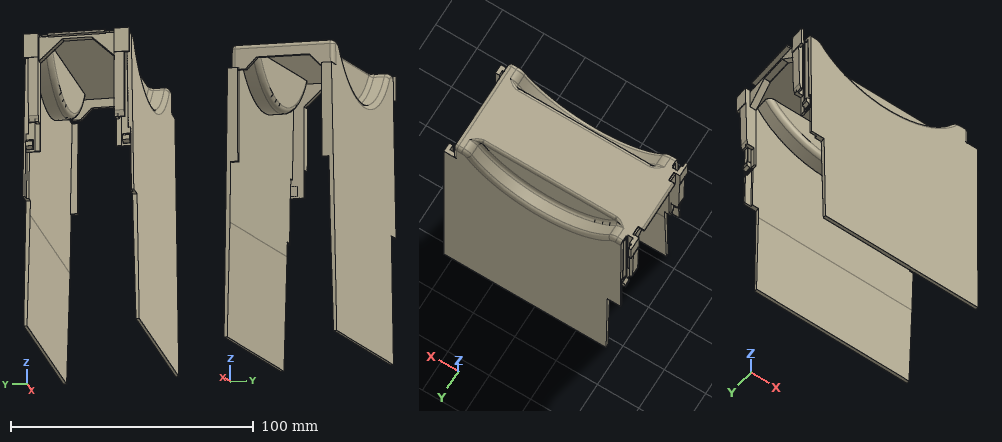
import cadquery as cq


HEIGHT = 123.0
TOP_HALF_WIDTH = 22.3
BOTTOM_HALF_WIDTH = 24.4
WALL = 2.0
SKIRT_WALL = 1.5
THIN_START = 75.0
EDGE_ROUND = 1.8

PANEL_FRONT_TOP = 4.9
PANEL_FRONT_LOW = 4.4
FRONT_STEP_DEPTH = 68.9
SKIRT_FRONT = 10.8
STRIP_REAR = 7.6
STRIP_WALL = 1.0
STRIP_DEPTH = 41.8
REAR_X = 86.2
REAR_STEP_DEPTH = 10.5
PANEL_REAR_TOP = 90.7
PANEL_REAR_BOTTOM = 89.4

REAR_LIP_DEPTH = 5.7
REAR_HOOK_INNER = 18.1
REAR_HOOK_WALL = 2.0
LEG_DEPTH = 49.7

TAB_HALF_WIDTH = 12.0
TAB_THICKNESS = 1.4
TAB_ROUND = 1.0
RECESS_X = 3.0
GUSSET_HALF_WIDTH = 6.2
GUSSET_DEPTH = 11.5
BRACE_FRONT = 2.2
BRACE_DEPTH = 2.5

RAIL_INNER = 16.0
RAIL_JOIN_WALL = 1.5
WEB_FRONT = 4.4
WEB_REAR = 5.4
LEDGE_OUTER = 18.2
LEDGE_PROUD = 0.5
FLANGE_WALL = 2.1
FLANGE_SETBACK = 0.6
FLANGE_OUTER = 20.2
HEAD_WALL = 1.2
HEAD_DEPTH = 10.3
FLANGE_DEPTH = 38.0
FLANGE_BEVEL = 2.6
NUB_DEPTH = 46.6
NUB_HALF_HEIGHT = 2.1
NUB_TIP_HALF_HEIGHT = 1.0
NUB_PROUD = 1.5
NUB_INNER = 19.0
NUB_OUTER = 21.9

SCOOP_X = 44.8
SCOOP_BOTTOM = 19.5
SCOOP_RADIUS = 40.6
SCOOP_FLOOR = 14.3
SCOOP_WALL = 1.6
SCOOP_BACK_ROUND = 2.5
FLOOR_ROUND = 1.6
SCOOP_END_ROUND = 4.7
SCOOP_TOP_ROUND = 1.4

PICK = 0.1


def half_width(depth):
    """Outer half width of the drafted side panel at a depth below the top."""
    return TOP_HALF_WIDTH + (BOTTOM_HALF_WIDTH - TOP_HALF_WIDTH) * depth / HEIGHT


def block(x0, x1, y0, y1, depth0, depth1):
    """Box between two X positions, two Y positions and two depths below the top."""
    return cq.Workplane("XY").box(
        x1 - x0, y1 - y0, depth1 - depth0, centered=False
    ).translate((x0, y0, -depth1))


def side_prism(points, y0, y1):
    """Extrude an X-Z outline from y0 to y1."""
    return cq.Workplane("XZ", origin=(0, y0, 0)).polyline(points).close().extrude(y0 - y1)


def cross_prism(points, x0, x1):
    """Extrude a Y-Z outline from x0 to x1."""
    return cq.Workplane("YZ", origin=(x0, 0, 0)).polyline(points).close().extrude(x1 - x0)


def shell():
    """Half of the drafted U section, trimmed to the side panel outline, with the rear end wall."""
    section = [
        (0, 0),
        (TOP_HALF_WIDTH, 0),
        (BOTTOM_HALF_WIDTH, -HEIGHT),
        (BOTTOM_HALF_WIDTH - SKIRT_WALL, -HEIGHT),
        (half_width(THIN_START) - WALL, -THIN_START),
        (half_width(WALL) - WALL, -WALL),
        (0, -WALL),
    ]
    outline = [
        (PANEL_FRONT_TOP, 0),
        (REAR_X, 0),
        (REAR_X, -REAR_STEP_DEPTH),
        (PANEL_REAR_TOP, -REAR_STEP_DEPTH),
        (PANEL_REAR_BOTTOM, -HEIGHT),
        (SKIRT_FRONT, -HEIGHT),
        (SKIRT_FRONT, -FRONT_STEP_DEPTH),
        (PANEL_FRONT_LOW, -FRONT_STEP_DEPTH),
    ]
    strip_recess = [
        (RAIL_INNER, -STRIP_DEPTH),
        (half_width(STRIP_DEPTH) - STRIP_WALL, -STRIP_DEPTH),
        (half_width(FRONT_STEP_DEPTH) - STRIP_WALL, -FRONT_STEP_DEPTH),
        (RAIL_INNER, -FRONT_STEP_DEPTH),
    ]
    body = cross_prism(section, 0, PANEL_REAR_TOP)
    body = body.intersect(side_prism(outline, 0, BOTTOM_HALF_WIDTH))
    body = body.cut(cross_prism(strip_recess, 0, STRIP_REAR))

    rear_wall = [
        (0, 0),
        (TOP_HALF_WIDTH, 0),
        (half_width(REAR_STEP_DEPTH), -REAR_STEP_DEPTH),
        (RAIL_INNER, -REAR_STEP_DEPTH),
        (RAIL_INNER - (REAR_STEP_DEPTH - REAR_LIP_DEPTH), -REAR_LIP_DEPTH),
        (0, -REAR_LIP_DEPTH),
    ]
    return body.union(cross_prism(rear_wall, REAR_X - WALL, REAR_X))


def scoop_disc(radius, y0, y1):
    """Disc about the scoop axis, which lies above the top surface."""
    axis_z = SCOOP_RADIUS - SCOOP_BOTTOM
    return cq.Workplane("XZ", origin=(SCOOP_X, y0, axis_z)).circle(radius).extrude(y0 - y1)


def scoop_pocket():
    """Cutter for the scoop, flaring out into the top surface at both ends."""
    reach = SCOOP_RADIUS + SCOOP_END_ROUND
    y_end = BOTTOM_HALF_WIDTH
    above_top = block(SCOOP_X - reach, SCOOP_X + reach, SCOOP_FLOOR, y_end, -2 * reach, 0)
    cutter = scoop_disc(SCOOP_RADIUS, SCOOP_FLOOR, y_end).union(above_top)
    end_corners = cq.selectors.BoxSelector(
        (SCOOP_X - SCOOP_RADIUS, 0, -PICK), (SCOOP_X + SCOOP_RADIUS, y_end, PICK)
    )
    cutter = cutter.edges("|Y").edges(end_corners).fillet(SCOOP_END_ROUND)
    return cutter.faces("<Y").edges("%CIRCLE").fillet(FLOOR_ROUND)


def add_scoop(body):
    """Add the bulged back of the scoop inside the panel, then cut the scoop itself."""
    back = scoop_disc(SCOOP_RADIUS + SCOOP_WALL, SCOOP_FLOOR - SCOOP_WALL, TOP_HALF_WIDTH)
    back = back.faces("<Y").edges().fillet(SCOOP_BACK_ROUND)
    below_top = block(0, REAR_X, 0, TOP_HALF_WIDTH, 0, HEIGHT)
    return body.union(back.intersect(below_top)).cut(scoop_pocket())


def round_edges(body):
    """Round the scoop rim, the long top edge and the rear corner."""
    floor_edge = cq.selectors.BoxSelector(
        (0, SCOOP_FLOOR - PICK, -PICK), (REAR_X, SCOOP_FLOOR + PICK, PICK)
    )
    body = body.edges("|X").edges(floor_edge).fillet(SCOOP_TOP_ROUND)

    side_edges = cq.selectors.BoxSelector(
        (PANEL_FRONT_TOP, TOP_HALF_WIDTH - PICK, -SCOOP_BOTTOM - PICK),
        (REAR_X + PICK, half_width(SCOOP_BOTTOM) + PICK, PICK),
    )
    rear_top_edge = cq.selectors.BoxSelector(
        (REAR_X - PICK, 0, -PICK), (REAR_X + PICK, TOP_HALF_WIDTH, PICK)
    )
    return body.edges(side_edges + rear_top_edge).fillet(EDGE_ROUND)


def front_tab():
    """Front edge of the top plate: a full-reach tab with a shallow recess beside it."""
    tab = block(0, PANEL_FRONT_TOP, 0, TAB_HALF_WIDTH, 0, TAB_THICKNESS)
    tab = tab.edges("<X and >Z").fillet(TAB_ROUND)
    return tab.union(block(RECESS_X, PANEL_FRONT_TOP, 0, RAIL_INNER, 0, TAB_THICKNESS))


def front_brace():
    """Shallow rib under the front edge of the top plate, widening to a gusset at the corner."""
    corner = [
        (0, -WALL / 2),
        (RAIL_INNER, -WALL / 2),
        (RAIL_INNER, -GUSSET_DEPTH),
        (GUSSET_HALF_WIDTH, -BRACE_DEPTH),
        (0, -BRACE_DEPTH),
    ]
    return cross_prism(corner, BRACE_FRONT, WEB_REAR)


def front_rail():
    """Guide rail: web behind, flange in front, joined along their inner edge."""
    web_section = [
        (RAIL_INNER, -EDGE_ROUND),
        (half_width(EDGE_ROUND) - STRIP_WALL / 2, -EDGE_ROUND),
        (half_width(LEG_DEPTH) - STRIP_WALL / 2, -LEG_DEPTH),
        (RAIL_INNER, -LEG_DEPTH),
    ]
    web = cross_prism(web_section, WEB_FRONT + LEDGE_PROUD, WEB_REAR)
    ledge = block(WEB_FRONT, WEB_REAR, RAIL_INNER, LEDGE_OUTER, 0, LEG_DEPTH)
    flange_side = [
        (0, 0),
        (FLANGE_WALL, 0),
        (FLANGE_WALL, -FLANGE_DEPTH),
        ((FLANGE_WALL + FLANGE_SETBACK) / 2, -FLANGE_DEPTH),
        (FLANGE_SETBACK, FLANGE_BEVEL - FLANGE_DEPTH),
    ]
    flange = side_prism(flange_side, RAIL_INNER, FLANGE_OUTER)
    head = block(0, HEAD_WALL, RAIL_INNER, TOP_HALF_WIDTH, 0, HEAD_DEPTH)
    join = block(FLANGE_WALL / 2, WEB_REAR, RAIL_INNER, RAIL_INNER + RAIL_JOIN_WALL, 0, FLANGE_DEPTH)
    nub_side = [
        (WEB_REAR, NUB_HALF_HEIGHT - NUB_DEPTH),
        (WEB_FRONT, NUB_HALF_HEIGHT - NUB_DEPTH),
        (WEB_FRONT - NUB_PROUD, NUB_TIP_HALF_HEIGHT - NUB_DEPTH),
        (WEB_FRONT - NUB_PROUD, -NUB_TIP_HALF_HEIGHT - NUB_DEPTH),
        (WEB_FRONT, -NUB_HALF_HEIGHT - NUB_DEPTH),
        (WEB_REAR, -NUB_HALF_HEIGHT - NUB_DEPTH),
    ]
    nub = side_prism(nub_side, NUB_INNER, NUB_OUTER)
    return web.union(ledge).union(flange).union(head).union(join).union(nub)


def rear_hook():
    """Inward flange along the upper rear edge of the side panel."""
    slope = (PANEL_REAR_TOP - PANEL_REAR_BOTTOM) / (HEIGHT - REAR_STEP_DEPTH)
    lean = slope * (LEG_DEPTH - REAR_STEP_DEPTH)
    side = [
        (PANEL_REAR_TOP - REAR_HOOK_WALL, -REAR_STEP_DEPTH),
        (PANEL_REAR_TOP, -REAR_STEP_DEPTH),
        (PANEL_REAR_TOP - lean, -LEG_DEPTH),
        (PANEL_REAR_TOP - lean - REAR_HOOK_WALL, -LEG_DEPTH),
    ]
    return side_prism(side, REAR_HOOK_INNER, TOP_HALF_WIDTH)


half = round_edges(add_scoop(shell()))
for feature in (front_tab(), front_brace(), front_rail(), rear_hook()):
    half = half.union(feature)

result = half.union(half.mirror("XZ")).clean()